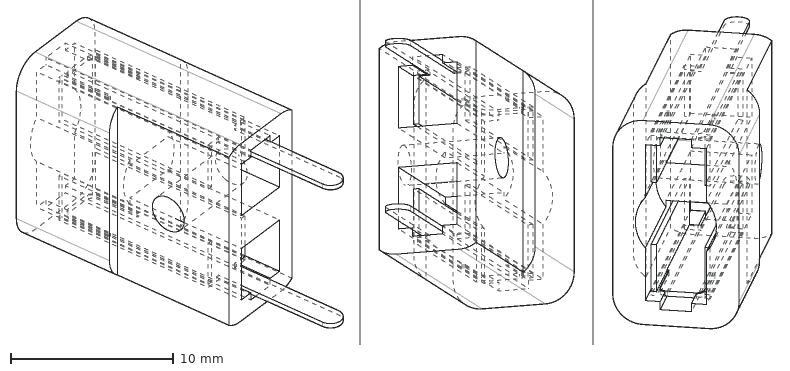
import cadquery as cq

total_length = 22.25
housing_length = 16.0
housing_width = 7.92
housing_height = 13.45
corner_radius = 1.9
grip_length = 7.27
narrow_width = 6.34

chamber_width = 3.83
chamber_height = 10.27
channel_width = 1.95
channel_height = 11.35
bore_radius = 2.54
web_height = 2.5
web_start = grip_length
cross_hole_diameter = 2.5
cross_hole_x = 11.25

strip_thickness = 0.33
strip_outer_z = 5.4
strip_inner_z = strip_outer_z - strip_thickness
terminal_start = 1.7
terminal_base_end = 13.35
terminal_width = 3.7
wing_tip_z = 2.05
tongue_width = 2.75
tongue_corner_radius = 0.55
relief_end = 5.34
blade_width = 1.58


def box(x_start, x_end, width, z_low, z_high, y_center=0):
    """Block between two X and two Z positions, centred on y_center."""
    return (
        cq.Workplane("XY")
        .box(x_end - x_start, width, z_high - z_low, centered=(False, True, False))
        .translate((x_start, y_center, z_low))
    )


def centered_box(x_start, x_end, width, height):
    return box(x_start, x_end, width, -height / 2, height / 2)


def make_housing_shell():
    shell = centered_box(0, housing_length, housing_width, housing_height)
    shell = shell.edges("|X").fillet(corner_radius)
    grip_zone = centered_box(0, grip_length, housing_width, housing_height)
    narrow_zone = centered_box(grip_length, housing_length, narrow_width, housing_height)
    return shell.intersect(grip_zone.union(narrow_zone))


def make_housing_cavity():
    chamber = centered_box(0, housing_length, chamber_width, chamber_height)
    channel = centered_box(0, housing_length, channel_width, channel_height)
    web = centered_box(web_start, housing_length, chamber_width, web_height)
    bore = cq.Workplane("YZ").circle(bore_radius).extrude(web_start)
    return chamber.union(channel).cut(web).union(bore)


def make_cross_hole():
    return (
        cq.Workplane("XZ")
        .center(cross_hole_x, 0)
        .circle(cross_hole_diameter / 2)
        .extrude(housing_width / 2, both=True)
    )


def make_upper_terminal():
    tongue = box(terminal_start, terminal_base_end, tongue_width, strip_inner_z, strip_outer_z)
    tongue = tongue.edges("|Z and <X").fillet(tongue_corner_radius)

    base = box(relief_end, terminal_base_end, terminal_width, strip_inner_z, strip_outer_z)
    terminal = tongue.union(base)
    wing_y = (terminal_width - strip_thickness) / 2
    for side in (-1, 1):
        wing = box(
            terminal_start, terminal_base_end, strip_thickness, wing_tip_z, strip_outer_z, side * wing_y
        )
        terminal = terminal.union(wing)

    tip_radius = blade_width / 2
    tip_center_x = total_length - tip_radius
    blade = (
        cq.Workplane("XY", origin=(0, 0, strip_inner_z))
        .moveTo(terminal_base_end, -tip_radius)
        .lineTo(tip_center_x, -tip_radius)
        .threePointArc((total_length, 0), (tip_center_x, tip_radius))
        .lineTo(terminal_base_end, tip_radius)
        .close()
        .extrude(strip_thickness)
    )
    return terminal.union(blade)


def make_terminal(z_side):
    """Terminal above (z_side = 1) or below (z_side = -1) the web."""
    terminal = make_upper_terminal()
    return terminal if z_side > 0 else terminal.mirror("XY")


terminals = [make_terminal(z_side) for z_side in (1, -1)]

housing = make_housing_shell().cut(make_housing_cavity()).cut(make_cross_hole())
for terminal in terminals:
    housing = housing.cut(terminal)

result = cq.Compound.makeCompound([housing.val(), *[terminal.val() for terminal in terminals]])